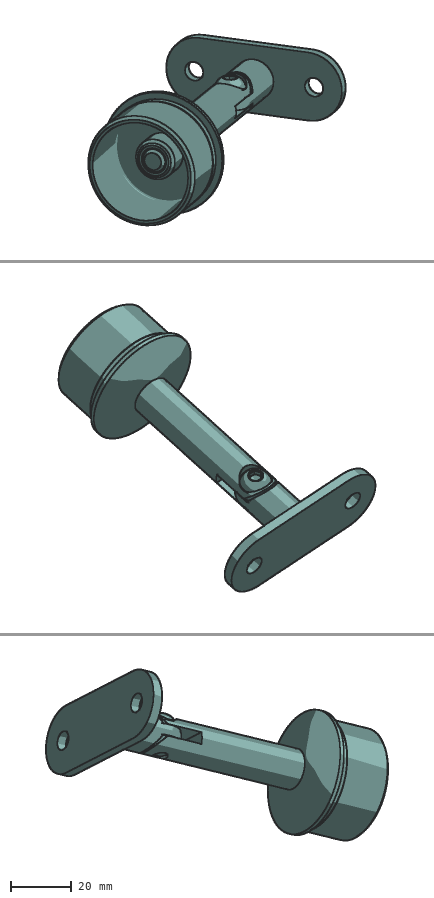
import cadquery as cq
import math


overall_length = 104.03
plate_length = 63.0
plate_height = 24.0
plate_thickness = 3.5
plate_hole_diameter = 6.5
plate_hole_pitch = 43.0
plate_back_y = 24.5
plate_front_y = plate_back_y - plate_thickness

post_diameter = 14.0
post_radius = post_diameter / 2
tongue_thickness = 3.9
shoulder_radius = 7.8
fork_offset = 0.55
slot_width = 4.2
slot_depth = 12.0

head_diameter = 10.6
head_top_diameter = 5.1
head_seat_z = 4.2
head_top_z = 7.5
head_bulge_radius = 4.2
head_bulge_z = 6.3
head_recess_diameter = 11.0
shank_diameter = 6.0
screw_tip_diameter = 5.0
screw_end_z = -6.0
socket_mouth_diameter = 4.77
socket_across_flats = 4.0
socket_depth = 2.0
socket_cone_depth = 1.0
socket_chamfer = 0.3

cap_open_y = plate_back_y - overall_length
flange_diameter = 42.4
flange_thickness = 1.5
neck_diameter = 37.9
insert_diameter = 38.3
insert_length = 20.0
neck_width = 2.8
insert_chamfer = 1.0
bore_diameter = 34.2
bore_depth = 20.4
bore_floor_fillet = 0.6
cap_height = 26.0
dome_top_diameter = 14.2

post_end_depth = 12.0
post_end_chamfer = 1.0
post_end_face_diameter = 10.6
post_end_crown = 0.3
stud_diameter = 8.0
stud_length = 20.0
stud_projection = 1.0
stud_chamfer = 1.0
stud_hole_chamfer = 0.4


def disc_along_z(diameter, z_low, z_high):
    """Cylinder on the hinge axis between two heights."""
    return cq.Workplane("XY").workplane(offset=z_low).circle(diameter / 2).extrude(z_high - z_low)


def rod_along_y(diameter, y_low, y_high):
    """Cylinder on the post axis between two Y positions."""
    return cq.Workplane("XZ", origin=(0, y_high, 0)).circle(diameter / 2).extrude(y_high - y_low)


def centred_box(size_x, y_low, y_high, size_z):
    """Box centred on the post axis between two Y positions."""
    length = y_high - y_low
    return cq.Workplane("XY").box(size_x, length, size_z).translate((0, y_low + length / 2, 0))


def make_plate():
    """Wall plate with round ends and two screw holes."""
    return (
        cq.Workplane("XZ", origin=(0, plate_back_y, 0))
        .slot2D(plate_length, plate_height)
        .extrude(plate_thickness)
        .faces("<Y")
        .workplane(origin=(0, plate_front_y, 0))
        .pushPoints([(-plate_hole_pitch / 2, 0), (plate_hole_pitch / 2, 0)])
        .hole(plate_hole_diameter)
    )


def make_stub():
    """Stub on the plate: a concave shoulder and a ball-ended tongue with the pivot hole."""
    body = rod_along_y(post_diameter, 0, plate_front_y)
    shoulder_cut = disc_along_z(2 * shoulder_radius, -post_diameter, post_diameter)
    shoulder_cut = shoulder_cut.translate((0, -fork_offset, 0))
    tongue_root = centred_box(post_diameter, 0, shoulder_radius, tongue_thickness).intersect(body)
    tongue_slab = centred_box(post_diameter, -post_radius, 0, tongue_thickness)
    tongue_end = cq.Workplane("XY").sphere(post_radius).intersect(tongue_slab)
    pivot_hole = disc_along_z(shank_diameter, -post_radius, post_radius)
    return body.cut(shoulder_cut).union(tongue_root).union(tongue_end).cut(pivot_hole)


def make_post():
    """Post: a round-ended fork at the hinge, a crowned end with the stud hole in the cap."""
    end_y = cap_open_y + post_end_depth
    crown_y = end_y + post_end_crown
    chamfer_y = crown_y + post_end_chamfer
    body = (
        cq.Workplane("XY")
        .moveTo(0, end_y)
        .lineTo(post_end_face_diameter / 2, end_y)
        .lineTo(post_radius - post_end_chamfer, crown_y)
        .lineTo(post_radius, chamfer_y)
        .lineTo(post_radius, post_radius)
        .lineTo(0, post_radius)
        .close()
        .revolve(360, (0, 0, 0), (0, 1, 0))
    )

    fork_outline = (
        cq.Workplane("XY")
        .workplane(offset=-post_radius)
        .moveTo(-post_radius, end_y)
        .lineTo(post_radius, end_y)
        .lineTo(post_radius, -fork_offset)
        .threePointArc((0, post_radius - fork_offset), (-post_radius, -fork_offset))
        .close()
        .extrude(post_diameter)
    )
    body = body.intersect(fork_outline)
    body = body.cut(centred_box(post_diameter, -slot_depth, post_radius, slot_width))

    body = body.cut(disc_along_z(head_recess_diameter, head_seat_z, post_diameter))
    body = body.cut(disc_along_z(shank_diameter, 0, head_seat_z))
    body = body.cut(disc_along_z(screw_tip_diameter, -post_diameter, 0))

    hole_end_y = end_y - stud_projection + stud_length
    mouth_radius = stud_diameter / 2 + stud_hole_chamfer
    stud_hole = rod_along_y(stud_diameter, end_y, hole_end_y)
    mouth_base = cq.Vector(0, end_y, 0)
    inward = cq.Vector(0, 1, 0)
    hole_mouth = cq.Solid.makeCone(mouth_radius, stud_diameter / 2, stud_hole_chamfer, mouth_base, inward)
    return body.cut(stud_hole).cut(cq.Workplane(hole_mouth))


def make_pivot_screw():
    """Button-head screw along Z with a hexagon socket."""
    half_tongue = tongue_thickness / 2
    body = (
        cq.Workplane("XZ")
        .moveTo(0, screw_end_z)
        .lineTo(screw_tip_diameter / 2, screw_end_z)
        .lineTo(screw_tip_diameter / 2, -half_tongue)
        .lineTo(shank_diameter / 2, -half_tongue)
        .lineTo(shank_diameter / 2, head_seat_z)
        .lineTo(head_diameter / 2, head_seat_z)
        .threePointArc((head_bulge_radius, head_bulge_z), (head_top_diameter / 2, head_top_z))
        .lineTo(0, head_top_z)
        .close()
        .revolve(360, (0, 0, 0), (0, 1, 0))
    )
    across_corners = socket_across_flats / math.cos(math.pi / 6)
    socket = (
        cq.Workplane("XY")
        .workplane(offset=head_top_z)
        .polygon(6, across_corners)
        .extrude(-socket_depth)
    )
    down = cq.Vector(0, 0, -1)
    cone_base = cq.Vector(0, 0, head_top_z - socket_depth)
    socket_cone = cq.Solid.makeCone(socket_across_flats / 2, 0, socket_cone_depth, cone_base, down)
    mouth_base = cq.Vector(0, 0, head_top_z)
    mouth_radius = socket_mouth_diameter / 2
    mouth = cq.Solid.makeCone(mouth_radius, mouth_radius - socket_chamfer, socket_chamfer, mouth_base, down)
    return body.cut(socket).cut(cq.Workplane(socket_cone)).cut(cq.Workplane(mouth))


def make_end_cap():
    """Domed tube cap with a flange, an insert for the tube and a hole for the post."""
    flange_y = cap_open_y + insert_length
    dome_base_y = flange_y + flange_thickness
    dome_top_y = cap_open_y + cap_height
    neck_y = flange_y - neck_width
    flange_radius = flange_diameter / 2
    dome_top_radius = dome_top_diameter / 2

    dome_rise = dome_top_y - dome_base_y
    centre_drop = (flange_radius**2 - dome_top_radius**2 - dome_rise**2) / (2 * dome_rise)
    dome_radius = math.hypot(flange_radius, centre_drop)
    mid_radius = (flange_radius + dome_top_radius) / 2
    mid_y = dome_base_y - centre_drop + math.sqrt(dome_radius**2 - mid_radius**2)

    body = (
        cq.Workplane("XY")
        .moveTo(0, cap_open_y)
        .lineTo(insert_diameter / 2 - insert_chamfer, cap_open_y)
        .lineTo(insert_diameter / 2, cap_open_y + insert_chamfer)
        .lineTo(insert_diameter / 2, neck_y)
        .lineTo(neck_diameter / 2, neck_y)
        .lineTo(neck_diameter / 2, flange_y)
        .lineTo(flange_radius, flange_y)
        .lineTo(flange_radius, dome_base_y)
        .threePointArc((mid_radius, mid_y), (dome_top_radius, dome_top_y))
        .lineTo(0, dome_top_y)
        .close()
        .revolve(360, (0, 0, 0), (0, 1, 0))
    )
    bore = rod_along_y(bore_diameter, cap_open_y, cap_open_y + bore_depth)
    bore = bore.faces(">Y").edges().fillet(bore_floor_fillet)
    post_hole = rod_along_y(post_diameter, cap_open_y, dome_top_y)
    return body.cut(bore).cut(post_hole)


def make_stud():
    """Stud in the post end with a chamfered tip inside the cap."""
    tip_y = cap_open_y + post_end_depth - stud_projection
    return rod_along_y(stud_diameter, tip_y, tip_y + stud_length).faces("<Y").chamfer(stud_chamfer)


plate = make_plate()
stub = make_stub()
post = make_post()
pivot_screw = make_pivot_screw()
end_cap = make_end_cap()
stud = make_stud()

result = cq.Compound.makeCompound(
    [plate.val(), stub.val(), post.val(), pivot_screw.val(), end_cap.val(), stud.val()]
)